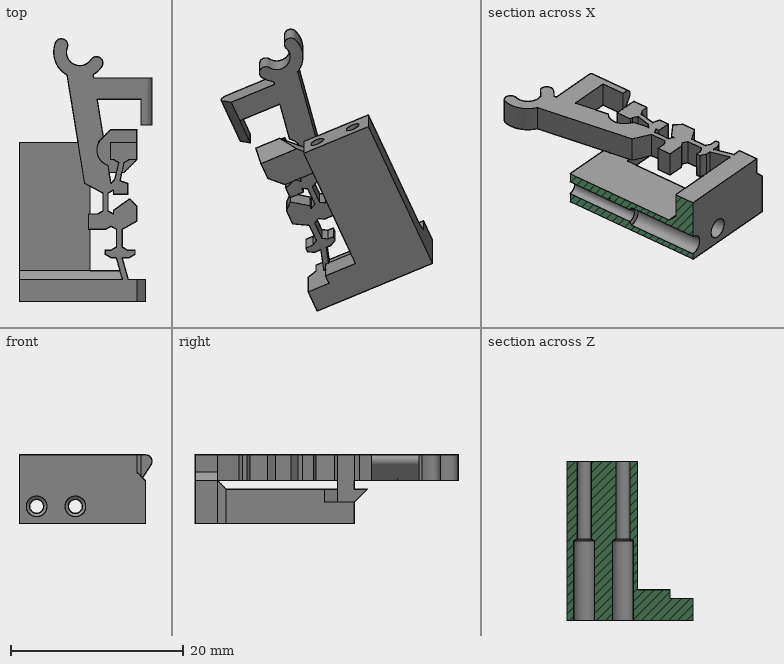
import cadquery as cq
import math

total_height = 8.0
plate_bottom = 5.0
plate_thickness = total_height - plate_bottom
base_top = 4.0

base_width = 8.2
base_length = 18.5
wall_width = 14.65
wall_thickness = 2.6
wall_notch = 1.0
wall_notch_bottom = plate_bottom
fillet_leg = plate_bottom - base_top
ledge_end_x = 12.0

hole_xs = (2.0, 6.5)
hole_z = 2.0
hole_front_diameter = 2.4
hole_back_diameter = 1.6
hole_front_depth = base_length / 2
drill_half_angle = math.radians(59)

stop_left_x = 10.6
stop_right_x = wall_width - wall_notch
stop_front_y = 16.5
stop_back_y = base_length
platform_depth = 1.5
platform_front_y = stop_front_y - platform_depth
platform_back_y = stop_back_y + platform_depth
platform_bottom = base_top - platform_depth

lower_leg_left, lower_leg_right = 11.25, 11.95
lower_leg_bottom, lower_leg_top = 6.35, 8.4
upper_leg_left, upper_leg_right = 9.7, 10.3
upper_leg_bottom, upper_leg_top = 10.55, 12.6
shoulder_width = 0.6
shoulder_height = 0.35
anchor_leaf_shift = 0.7

crosspiece_left, crosspiece_right = 9.95, 13.45
crosspiece_bottom = 5.1
crosspiece_corner_y = 5.5

lever_tilt = math.radians(9.25)
lever_heel_x, lever_heel_y = 7.57, 13.75
lever_crotch_x = 10.63
lever_top_y = 26.4
clearance_x, clearance_y = 10.85, 17.6
clearance_radius = 1.85

hook_x, hook_y = 7.02, 28.98
hook_inner_radius = 1.55
hook_thickness = 1.5
hook_start_angle = math.radians(159)
hook_end_angle = math.radians(327)

arm_front_y, arm_back_y = 23.5, 26.0
nose_front_y = 20.5
nose_inner_x = 14.1
nose_outer_x = 15.41
nose_round_x = 14.64
nose_radius = nose_outer_x - nose_round_x


def prism(points, bottom, top):
    """Closed XY outline extruded between two heights."""
    return cq.Workplane("XY").workplane(offset=bottom).polyline(points).close().extrude(top - bottom)


def plate(points):
    return prism(points, plate_bottom, total_height)


def block(x0, x1, y0, y1, bottom, top):
    return prism([(x0, y0), (x1, y0), (x1, y1), (x0, y1)], bottom, top)


def make_wall():
    """Front wall, relieved at its upper right corner."""
    outline = [
        (0, 0),
        (wall_width, 0),
        (wall_width, wall_notch_bottom),
        (wall_width - wall_notch, wall_notch_bottom + wall_notch),
        (wall_width - wall_notch, total_height),
        (0, total_height),
    ]
    return cq.Workplane("XZ").polyline(outline).close().extrude(-wall_thickness)


def make_ledge():
    """Ramped ledge along the back of the wall."""
    ledge_back_y = wall_thickness + fillet_leg
    outline = [
        (0, 0),
        (ledge_back_y, 0),
        (ledge_back_y, base_top),
        (wall_thickness, plate_bottom),
        (0, plate_bottom),
    ]
    return cq.Workplane("YZ").polyline(outline).close().extrude(ledge_end_x)


def make_hole(x):
    """Wide drilled bore at the front, continued by a narrow bore through the back."""
    front_radius = hole_front_diameter / 2
    back_radius = hole_back_diameter / 2
    taper_length = (front_radius - back_radius) / math.tan(drill_half_angle)
    profile = [
        (0, 0),
        (front_radius, 0),
        (front_radius, hole_front_depth),
        (back_radius, hole_front_depth + taper_length),
        (back_radius, base_length),
        (0, base_length),
    ]
    hole = cq.Workplane("XY").polyline(profile).close().revolve(360, (0, 0, 0), (0, 1, 0))
    return hole.translate((x, 0, hole_z))


def make_base():
    base = block(0, base_width, 0, base_length, 0, base_top)
    base = base.union(make_wall()).union(make_ledge())
    for x in hole_xs:
        base = base.cut(make_hole(x))
    return base


def make_platform():
    """Shelf on the base's right side, undercut at 45 degrees along its back edge."""
    diagonal_run = stop_left_x - base_width
    outline = [
        (base_width, platform_front_y),
        (stop_right_x - platform_depth, platform_front_y),
        (stop_right_x, stop_front_y),
        (stop_right_x, platform_back_y),
        (stop_left_x, platform_back_y),
        (base_width, platform_back_y - diagonal_run),
    ]
    undercut = (
        cq.Workplane("YZ")
        .polyline([
            (stop_back_y, platform_bottom),
            (platform_back_y, platform_bottom),
            (platform_back_y, base_top),
        ])
        .close()
        .extrude(wall_width)
    )
    return prism(outline, platform_bottom, base_top).cut(undercut)


def make_stop():
    """Block rising from the platform; it carries the fixed end of the upper leaf."""
    return block(stop_left_x, stop_right_x, stop_front_y, stop_back_y, base_top, total_height)


def make_lower_flexure():
    """Leaning leaf from the wall, crosspiece and lower leg."""
    crosspiece_top = lower_leg_bottom - shoulder_height
    corner_run = 0.7
    return plate([
        (lower_leg_left + anchor_leaf_shift, wall_thickness),
        (lower_leg_left, crosspiece_bottom),
        (crosspiece_left + corner_run, crosspiece_bottom),
        (crosspiece_left, crosspiece_corner_y),
        (crosspiece_left, crosspiece_top),
        (lower_leg_left - shoulder_width, crosspiece_top),
        (lower_leg_left, lower_leg_bottom),
        (lower_leg_left, lower_leg_top),
        (lower_leg_right, lower_leg_top),
        (lower_leg_right, lower_leg_bottom),
        (lower_leg_right + shoulder_width, crosspiece_top),
        (crosspiece_right, crosspiece_top),
        (crosspiece_right, crosspiece_corner_y),
        (crosspiece_right - corner_run, crosspiece_bottom),
        (lower_leg_right, crosspiece_bottom),
        (lower_leg_right + anchor_leaf_shift, wall_thickness),
    ])


def make_middle_link():
    """Rigid link between the two legs, with the upper leg on top of it."""
    link_left = 8.0
    link_top = upper_leg_bottom - shoulder_height
    groove_x = upper_leg_right + shoulder_width
    groove_top = 10.6
    peak_x, peak_y = 12.8, 11.95
    right_side_bottom, right_side_top = 9.35, 11.1
    return plate([
        (lower_leg_left, lower_leg_top),
        (lower_leg_left - shoulder_width, lower_leg_top + shoulder_height),
        (lower_leg_left - 2 * shoulder_width, lower_leg_top),
        (link_left, lower_leg_top),
        (link_left, link_top),
        (upper_leg_left - shoulder_width, link_top),
        (upper_leg_left, upper_leg_bottom),
        (upper_leg_left, upper_leg_top),
        (upper_leg_right, upper_leg_top),
        (upper_leg_right, upper_leg_bottom),
        (groove_x, link_top),
        (groove_x, groove_top),
        (peak_x, peak_y),
        (stop_right_x, right_side_top),
        (stop_right_x, right_side_bottom),
        (lower_leg_right, lower_leg_top),
    ])


def make_upper_leaf():
    """Toe of the lever and the leaning leaf that ties it to the stop block."""
    toe_left = upper_leg_right + shoulder_width
    toe_right = 12.6
    toe_bottom, toe_top = 12.45, 13.75
    leaf_bottom_left, leaf_bottom_right = (11.05, 14.2), (11.7, 14.05)
    leaf_top_left, leaf_top_right = 11.55, 12.15
    leaf_top_y = stop_front_y - shoulder_height
    return plate([
        (upper_leg_right, upper_leg_top),
        (toe_left, upper_leg_top + shoulder_height),
        (toe_left, toe_bottom),
        (toe_right, toe_bottom),
        (toe_right, toe_top),
        leaf_bottom_right,
        (leaf_top_right, leaf_top_y),
        (leaf_top_right + shoulder_width, stop_front_y),
        (leaf_top_left - shoulder_width, stop_front_y),
        (leaf_top_left, leaf_top_y),
        leaf_bottom_left,
        (lever_crotch_x, lever_heel_y),
    ])


def make_lever():
    """Tilted bar with a round relief that clears the stop block."""
    lean = (lever_top_y - lever_heel_y) * math.tan(lever_tilt)
    bar = plate([
        (lever_heel_x, lever_heel_y),
        (upper_leg_left, upper_leg_top),
        (upper_leg_right, upper_leg_top),
        (lever_crotch_x, lever_heel_y),
        (lever_crotch_x - lean, lever_top_y),
        (lever_heel_x - lean, lever_top_y),
    ])
    relief = (
        cq.Workplane("XY", origin=(clearance_x, clearance_y, plate_bottom))
        .circle(clearance_radius)
        .extrude(plate_thickness)
    )
    return bar.cut(relief)


def hook_point(radius, angle):
    return (hook_x + radius * math.cos(angle), hook_y + radius * math.sin(angle))


def make_hook():
    """Crescent with round ends that overlaps the top of the lever."""
    outer_radius = hook_inner_radius + hook_thickness
    middle_radius = hook_inner_radius + hook_thickness / 2
    middle_angle = (hook_start_angle + hook_end_angle) / 2
    crescent = (
        cq.Workplane("XY", origin=(0, 0, plate_bottom))
        .moveTo(*hook_point(outer_radius, hook_start_angle))
        .threePointArc(hook_point(outer_radius, middle_angle), hook_point(outer_radius, hook_end_angle))
        .lineTo(*hook_point(hook_inner_radius, hook_end_angle))
        .threePointArc(
            hook_point(hook_inner_radius, middle_angle),
            hook_point(hook_inner_radius, hook_start_angle),
        )
        .close()
        .extrude(plate_thickness)
    )
    ends = (
        cq.Workplane("XY", origin=(0, 0, plate_bottom))
        .pushPoints([hook_point(middle_radius, a) for a in (hook_start_angle, hook_end_angle)])
        .circle(hook_thickness / 2)
        .extrude(plate_thickness)
    )
    return crescent.union(ends)


def make_side_arm():
    return block(hook_x, nose_inner_x, arm_front_y, arm_back_y, plate_bottom, total_height)


def make_nose():
    """Latch nose: rounded on top, with a sloping underside tangent to the round."""
    round_z = total_height - nose_radius
    run = nose_round_x - nose_inner_x
    rise = round_z - plate_bottom
    slope = math.atan2(rise, run) - math.asin(nose_radius / math.hypot(run, rise))
    tangent_angle = slope - math.pi / 2

    def round_point(angle):
        return (nose_round_x + nose_radius * math.cos(angle), round_z + nose_radius * math.sin(angle))

    return (
        cq.Workplane("XZ", origin=(0, nose_front_y, 0))
        .moveTo(nose_inner_x, plate_bottom)
        .lineTo(*round_point(tangent_angle))
        .threePointArc(round_point(0), round_point(math.pi / 2))
        .lineTo(nose_inner_x, total_height)
        .close()
        .extrude(nose_front_y - arm_back_y)
    )


result = make_base()
for feature in (
    make_platform(),
    make_stop(),
    make_lower_flexure(),
    make_middle_link(),
    make_upper_leaf(),
    make_lever(),
    make_side_arm(),
    make_nose(),
    make_hook(),
):
    result = result.union(feature)